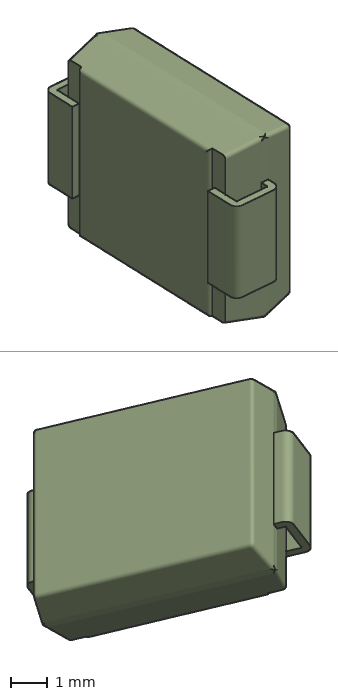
import cadquery as cq
import math

overall_length = 7.9
overall_depth = 2.62
body_length = 6.905
body_height = 5.9

lead_thickness = 0.245
lead_width = 3.0
lead_top = 1.61
foot_length = 1.15
bend_radius = lead_thickness

draft_angle = 10.5
edge_radius = 0.12
band_bottom = lead_top - lead_thickness
shelf_level = lead_thickness

pad_length = 5.4
pad_face = 0.11
pad_radius = 0.12


def inset(rise):
    """How far a drafted wall moves inward over a distance `rise` along y."""
    return rise * math.tan(math.radians(draft_angle))


def drafted_block(start, band_edge, end):
    """Block narrowing from `start` to `end`, as wide as the body at `band_edge`, with round corners."""
    flare = 2 * inset(abs(band_edge - start))
    direction = math.copysign(1, end - start)
    plane = cq.Plane(origin=(0, start, 0), xDir=(1, 0, 0), normal=(0, direction, 0))
    block = (
        cq.Workplane(plane)
        .rect(body_length + flare, body_height + flare)
        .extrude(abs(end - start), taper=draft_angle)
    )
    return block.edges("not(#Y)").fillet(edge_radius)


def make_body():
    """Common volume of a straight block and two drafted blocks that face opposite ways."""
    body_depth = overall_depth - shelf_level
    straight = cq.Workplane("XY").box(body_length, body_depth, body_height)
    straight = straight.translate((0, (overall_depth + shelf_level) / 2, 0))
    back = drafted_block(shelf_level, lead_top, overall_depth)
    back = back.faces(">Y").edges().fillet(edge_radius)
    front = drafted_block(overall_depth, band_bottom, shelf_level)
    return straight.intersect(back).intersect(front)


def make_pad():
    """Pad that continues the drafted walls beyond the shelf, with a rounded face rim."""
    shelf_height = body_height - 2 * inset(band_bottom - shelf_level)
    plane = cq.Plane(origin=(0, shelf_level, 0), xDir=(1, 0, 0), normal=(0, -1, 0))
    pad = (
        cq.Workplane(plane)
        .rect(pad_length, shelf_height)
        .extrude(shelf_level - pad_face, taper=draft_angle)
    )
    return pad.faces("<Y").edges().fillet(pad_radius)


def make_lead():
    """Left lead: C-shaped strip with rounded outer bends and sharp inner corners."""
    outer_x = -overall_length / 2
    inner_x = outer_x + lead_thickness
    foot_end = outer_x + foot_length
    profile = (
        cq.Workplane("XY")
        .moveTo(foot_end, 0)
        .lineTo(outer_x + bend_radius, 0)
        .radiusArc((outer_x, bend_radius), bend_radius)
        .lineTo(outer_x, lead_top - bend_radius)
        .radiusArc((outer_x + bend_radius, lead_top), bend_radius)
        .lineTo(foot_end, lead_top)
        .lineTo(foot_end, band_bottom)
        .lineTo(inner_x, band_bottom)
        .lineTo(inner_x, lead_thickness)
        .lineTo(foot_end, lead_thickness)
        .close()
    )
    return profile.extrude(lead_width / 2, both=True)


left_lead = make_lead()
right_lead = left_lead.mirror("YZ")
result = make_body().union(make_pad()).union(left_lead).union(right_lead).clean()